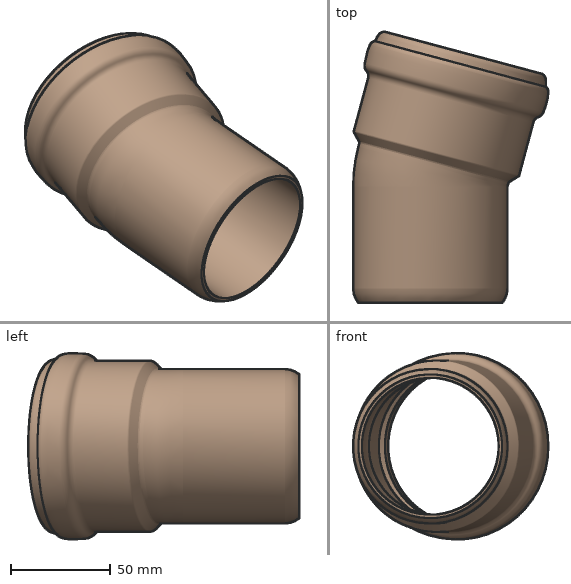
import cadquery as cq

bend_angle = 15.0

spigot_radius = 78.0 / 2
bore_radius = 69.0 / 2
spigot_length = 58.6
tip_radius = 72.5 / 2
tip_length = 7.1
tip_bulge = 0.7

bend_inner_radius = 0.1
bend_radius = spigot_radius + bend_inner_radius

socket_radius = 86.5 / 2
socket_bore_radius = 78.7 / 2
bead_radius = 94.3 / 2
bead_bore_radius = 87.6 / 2
bead_flank_radius = 44.9
bead_back_radius = 46.8
bead_front_radius = 46.7
neck_radius = 44.8
lip_radius = 44.0
rim_radius = 41.2
lip_bore_radius = 78.5 / 2

shoulder_start = 2.3
shoulder_end = 6.7
bead_root = 34.8
bead_flank = 37.9
bead_back = 41.5
bead_crest = 46.5
bead_front = 51.2
neck = 53.7
lip = 56.7
socket_length = 59.5
inner_shoulder_start = 4.1
inner_shoulder_end = 8.5
groove_start = 41.5
groove_crest_start = 43.1
groove_crest_end = 49.3
groove_end = 52.7

shoulder_foot_blend = 1.1
shoulder_edge_blend = 1.1


def make_spigot():
    tip_middle = ((tip_radius + spigot_radius) / 2 + tip_bulge, tip_length / 2)
    return (
        cq.Workplane("XY")
        .moveTo(bore_radius, 0)
        .lineTo(tip_radius, 0)
        .threePointArc(tip_middle, (spigot_radius, tip_length))
        .lineTo(spigot_radius, spigot_length)
        .lineTo(bore_radius, spigot_length)
        .close()
        .revolve(360, (0, 0), (0, 1))
    )


def make_bend():
    return (
        cq.Workplane("XZ", origin=(0, spigot_length, 0))
        .circle(spigot_radius)
        .circle(bore_radius)
        .revolve(bend_angle, (bend_radius, 1.4), (bend_radius, 0))
    )


def at_radius(radius, station):
    """Select the circular edge of the socket with this radius and station."""
    reach = 0.01
    return cq.selectors.BoxSelector(
        (-radius - reach, station - reach, -radius - reach),
        (radius + reach, station + reach, radius + reach),
        boundingbox=True,
    )


def make_socket():
    """Socket on the Y axis, with the end of the bend at the origin."""
    body = (
        cq.Workplane("XY")
        .moveTo(bore_radius, 0)
        .lineTo(spigot_radius, 0)
        .lineTo(spigot_radius, shoulder_start)
        .lineTo(socket_radius, shoulder_end)
        .lineTo(socket_radius, bead_root)
        .tangentArcPoint((bead_flank_radius, bead_flank), relative=False)
        .tangentArcPoint((bead_back_radius, bead_back), relative=False)
        .threePointArc((bead_radius, bead_crest), (bead_front_radius, bead_front))
        .tangentArcPoint((neck_radius, neck), relative=False)
        .lineTo(lip_radius, lip)
        .tangentArcPoint((rim_radius, socket_length), relative=False)
        .lineTo(lip_bore_radius, socket_length)
        .lineTo(lip_bore_radius, groove_end)
        .lineTo(bead_bore_radius, groove_crest_end)
        .lineTo(bead_bore_radius, groove_crest_start)
        .lineTo(socket_bore_radius, groove_start)
        .lineTo(socket_bore_radius, inner_shoulder_end)
        .lineTo(bore_radius, inner_shoulder_start)
        .close()
        .revolve(360, (0, 0), (0, 1))
    )
    body = body.edges(at_radius(spigot_radius, shoulder_start)).fillet(shoulder_foot_blend)
    return body.edges(at_radius(socket_radius, shoulder_end)).fillet(shoulder_edge_blend)


def place_socket(socket):
    """Carry the socket from the end of the spigot round to the end of the bend."""
    return socket.translate((0, spigot_length, 0)).rotate(
        (bend_radius, spigot_length, 0), (bend_radius, spigot_length, 1), -bend_angle
    )


result = make_spigot().union(make_bend()).union(place_socket(make_socket()))